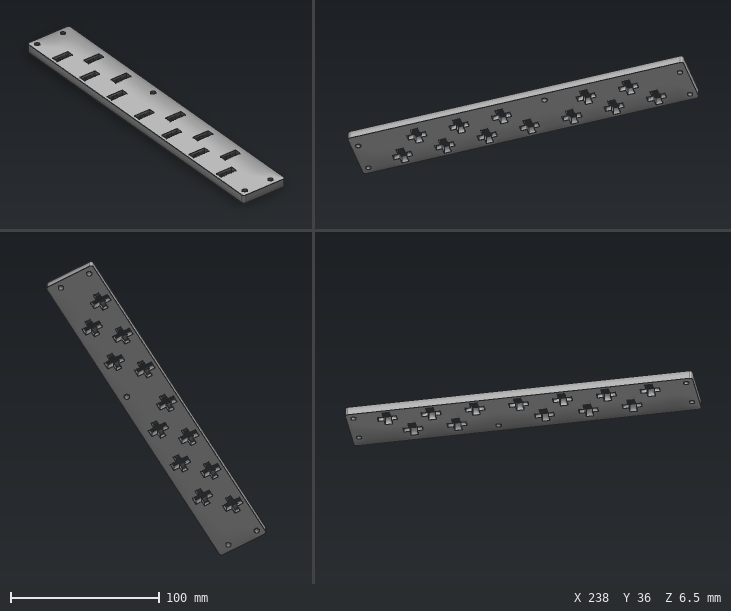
import cadquery as cq

length = 238.0
width = 36.0
thickness = 6.5
corner_radius = 2.0

slot_length_x = 5.0
slot_length_y = 13.0
slot_pitch = 30.0
front_row_count = 7
front_row_center_x = -1.5
front_row_y = -9.0
back_row_y = 6.0
back_row_skipped_gap = 2

relief_length_x = 13.0
relief_width_y = 4.0
relief_depth = 4.4

end_hole_diameter = 3.5
end_hole_x = length / 2 - 5.0
end_hole_front_y = -13.0
end_hole_back_y = 9.0
center_hole_x = -19.0
center_hole_y = 12.0
center_hole_diameter = 3.7


def slot_centers():
    """Centres of all key slots, front row first."""
    first_x = front_row_center_x - slot_pitch * (front_row_count - 1) / 2
    front = [(first_x + i * slot_pitch, front_row_y) for i in range(front_row_count)]
    back = [
        (first_x + (i + 0.5) * slot_pitch, back_row_y)
        for i in range(front_row_count - 1)
        if i != back_row_skipped_gap
    ]
    return front + back


def box_cutters(centers, size_x, size_y, height):
    """Boxes of one size standing on the underside plane at the given centres."""
    return cq.Workplane("XY").pushPoints(centers).rect(size_x, size_y).extrude(height)


def make_plate():
    plate = cq.Workplane("XY").rect(length, width).extrude(thickness)
    return plate.edges("|Z").fillet(corner_radius)


def hole_cutters():
    """Cylinders for the four end holes and the single hole in the back-row gap."""
    centers = [(x, y) for x in (-end_hole_x, end_hole_x) for y in (end_hole_front_y, end_hole_back_y)]
    ends = cq.Workplane("XY").pushPoints(centers).circle(end_hole_diameter / 2).extrude(thickness)
    center = (
        cq.Workplane("XY")
        .center(center_hole_x, center_hole_y)
        .circle(center_hole_diameter / 2)
        .extrude(thickness)
    )
    return ends.union(center)


slots = box_cutters(slot_centers(), slot_length_x, slot_length_y, thickness)
reliefs = box_cutters(slot_centers(), relief_length_x, relief_width_y, relief_depth)
result = make_plate().cut(slots).cut(reliefs).cut(hole_cutters())